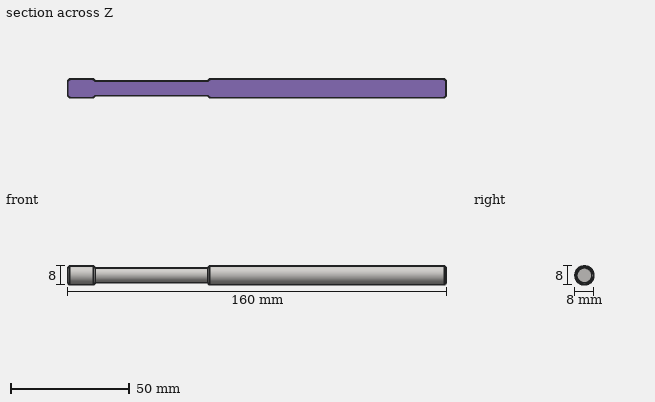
import cadquery as cq

total_length = 160.0
body_diameter = 8.0
neck_diameter = 6.4

head_length = 11.7
body_start = 59.2

chamfer = (body_diameter - neck_diameter) / 2


def chamfered_cylinder(start, end):
    """Full-diameter cylinder along X with both end edges chamfered."""
    return (
        cq.Workplane("YZ", origin=(start, 0, 0))
        .circle(body_diameter / 2)
        .extrude(end - start)
        .faces("<X or >X")
        .edges()
        .chamfer(chamfer)
    )


head = chamfered_cylinder(0, head_length)
body = chamfered_cylinder(body_start, total_length)

neck = (
    cq.Workplane("YZ", origin=(head_length, 0, 0))
    .circle(neck_diameter / 2)
    .extrude(body_start - head_length)
)

result = head.union(neck).union(body).translate((-total_length / 2, 0, 0))